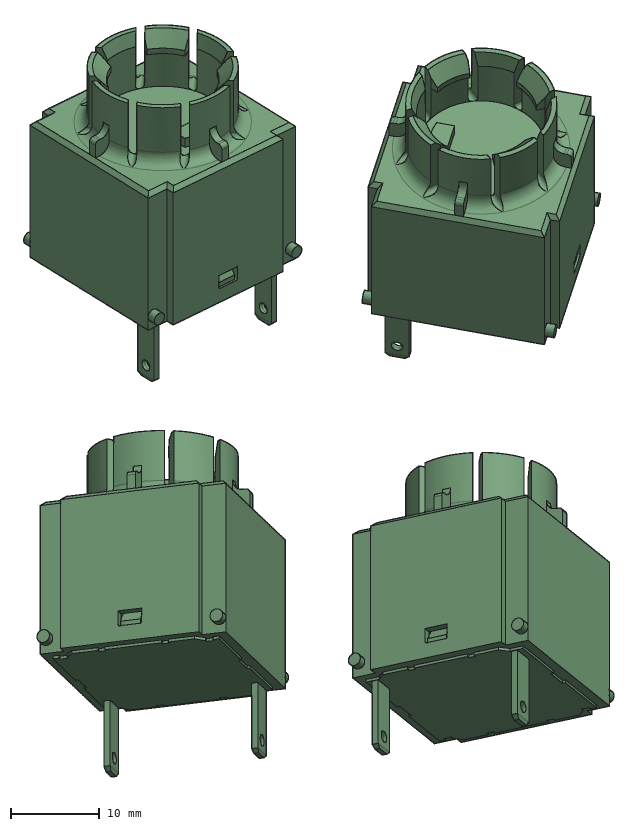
import cadquery as cq
import math

body_size = 22.2
body_height = 18.3
corner_step = 1.07
wing_width = 16.55
top_chamfer = 0.5
half_body = body_size / 2
step_x = half_body - corner_step

pin_diameter = 1.5
pin_z = 1.72
pin_y = half_body - pin_diameter / 2

collar_top = 25.78
collar_radius = 8.5
flare_radius = 1.48
bore_radius = 7.3
mouth_radius = 7.9
taper_depth = 1.72
collar_root = body_height - top_chamfer

slot_width = 1.0
slot_offset = 2.95
slot_start = 5.85
slot_end = 10.35

hook_radius = 6.35
hook_face_height = 0.72
hook_embed = 0.17

rib_width = 1.0
rib_reach = half_body - top_chamfer
rib_top = 20.47
rib_corner_radius = 0.5
rib_root_radius = 1.25

key_inner_x = 3.48
key_outer_radius = 5.8
key_width = 3.2
key_height = 1.2

window_width = 2.83
window_bottom = 1.85
window_top = 3.65
window_depth = 1.0
window_corner_radius = 0.25
latch_width = 2.38
latch_recess = 0.28
latch_edge_z = 2.48

plate_thickness = 0.35
plate_half = 9.92
plate_chamfer = 0.93
plate_side_notch_y = 3.8
plate_side_notch_width = 0.83
plate_end_notch_width = 2.83
plate_notch_depth = 0.35

terminal_x = 7.5
terminal_y = 8.82
terminal_width = 2.83
terminal_thickness = 0.75
front_terminal_length = 8.58
rear_terminal_length = 8.7
terminal_blade_length = 8.15
terminal_tip_inset = 0.5
terminal_tip_thickness = 0.6
terminal_hole_diameter = 1.3
terminal_hole_z = -6.8


def block(x0, x1, y0, y1, z0, z1):
    """Box given by its limits along each axis."""
    return cq.Workplane("XY").box(x1 - x0, y1 - y0, z1 - z0, centered=False).translate((x0, y0, z0))


def make_housing():
    wings = cq.Workplane("XY").rect(body_size, wing_width).extrude(body_height)
    core = cq.Workplane("XY").rect(2 * step_x, body_size).extrude(body_height)
    return core.union(wings).faces(">Z").edges().chamfer(top_chamfer)


def make_pins():
    pins = cq.Workplane("YZ", origin=(-half_body, 0, 0))
    pins = pins.pushPoints([(-pin_y, pin_z), (pin_y, pin_z)]).circle(pin_diameter / 2).extrude(corner_step)
    return pins.union(pins.mirror("YZ"))


def make_collar_ring():
    """Flared ring with a tapered mouth, rooted inside the housing."""
    flare_outer = collar_radius + flare_radius
    flare_top = body_height + flare_radius
    arc_inset = flare_radius * (1 - math.sqrt(0.5))
    profile = (
        cq.Workplane("XZ")
        .moveTo(bore_radius, collar_root)
        .lineTo(flare_outer, collar_root)
        .lineTo(flare_outer, body_height)
        .threePointArc((collar_radius + arc_inset, body_height + arc_inset), (collar_radius, flare_top))
        .lineTo(collar_radius, collar_top)
        .lineTo(mouth_radius, collar_top)
        .lineTo(bore_radius, collar_top - taper_depth)
        .close()
    )
    return profile.revolve(360, (0, 0, 0), (0, 1, 0))


def make_hook():
    """Hook on the finger that points along +X; its ends are radial."""
    half_angle = math.degrees(math.asin((slot_offset - slot_width / 2) / bore_radius))
    tip_z = collar_top - taper_depth
    hook_bottom = tip_z - hook_face_height
    profile = cq.Workplane("XZ").polyline([
        (mouth_radius, collar_top),
        (hook_radius, tip_z),
        (hook_radius, hook_bottom),
        (bore_radius + hook_embed, hook_bottom),
        (mouth_radius + hook_embed, collar_top),
    ]).close()
    hook = profile.revolve(2 * half_angle, (0, 0, 0), (0, 1, 0))
    middle = math.degrees(math.atan2(hook.val().Center().y, hook.val().Center().x))
    return hook.rotate((0, 0, 0), (0, 0, 1), -middle)


def make_slot():
    """Round-bottomed slot cutter running along +X, its lowest line level with the housing top."""
    radius = slot_width / 2
    axis_z = body_height + radius
    above = collar_top + slot_width
    return (
        cq.Workplane("YZ", origin=(slot_start, 0, 0))
        .moveTo(slot_offset - radius, above)
        .lineTo(slot_offset - radius, axis_z)
        .threePointArc((slot_offset, body_height), (slot_offset + radius, axis_z))
        .lineTo(slot_offset + radius, above)
        .close()
        .extrude(slot_end - slot_start)
    )


def make_rib():
    """Rib along +X with a rounded outer corner and a hollow root against the collar."""
    embed_x = (collar_radius + mouth_radius) / 2
    hollow = rib_root_radius * (1 - math.sqrt(0.5))
    corner = rib_corner_radius * (1 - math.sqrt(0.5))
    return (
        cq.Workplane("XZ", origin=(0, rib_width / 2, 0))
        .moveTo(embed_x, collar_root)
        .lineTo(rib_reach, collar_root)
        .lineTo(rib_reach, rib_top - rib_corner_radius)
        .threePointArc((rib_reach - corner, rib_top - corner), (rib_reach - rib_corner_radius, rib_top))
        .lineTo(collar_radius + rib_root_radius, rib_top)
        .threePointArc((collar_radius + hollow, rib_top + hollow), (collar_radius, rib_top + rib_root_radius))
        .lineTo(embed_x, rib_top + rib_root_radius)
        .close()
        .extrude(rib_width)
    )


def make_collar():
    collar = make_collar_ring()
    hook = make_hook()
    slot = make_slot()
    slot_pair = slot.union(slot.mirror("XZ"))
    rib = make_rib()
    for quarter in range(4):
        turn = 90 * quarter
        collar = collar.union(hook.rotate((0, 0, 0), (0, 0, 1), turn + 45))
        collar = collar.cut(slot_pair.rotate((0, 0, 0), (0, 0, 1), turn + 45))
        collar = collar.union(rib.rotate((0, 0, 0), (0, 0, 1), turn))
    return collar


def make_key():
    disc = cq.Workplane("XY", origin=(0, 0, collar_root)).circle(key_outer_radius)
    disc = disc.extrude(body_height + key_height - collar_root)
    limits = block(key_inner_x, key_outer_radius, -key_width / 2, key_width / 2,
                   collar_root, body_height + key_height)
    return disc.intersect(limits)


def make_window():
    """Cutter for the -X latch window; the sloped latch stays standing inside it."""
    window = block(-half_body, -half_body + window_depth, -window_width / 2, window_width / 2,
                   window_bottom, window_top)
    window = window.edges("|X and <Z").fillet(window_corner_radius)
    front_x = -half_body + latch_recess
    back_x = -half_body + window_depth
    latch = (
        cq.Workplane("XZ", origin=(0, latch_width / 2, 0))
        .polyline([
            (front_x, window_bottom),
            (front_x, latch_edge_z),
            (back_x, window_top),
            (back_x, window_bottom),
        ])
        .close()
        .extrude(latch_width)
    )
    return window.cut(latch)


def make_plate():
    """Thin plate with chamfered X wings, and shallow notches around its edge."""
    half_wing = wing_width / 2
    core_x = plate_half - plate_chamfer
    wings = cq.Workplane("XY").rect(2 * plate_half, wing_width).extrude(-plate_thickness)
    wings = wings.edges("|Z").chamfer(plate_chamfer)
    plate = cq.Workplane("XY").rect(2 * core_x, 2 * plate_half).extrude(-plate_thickness).union(wings)

    recess_outer = terminal_y + terminal_thickness / 2
    recess = block(-core_x, -core_x + plate_notch_depth, half_wing, recess_outer, -plate_thickness, 0)
    plate = plate.cut(recess).cut(recess.mirror("XZ"))

    def notches(points, size_x, size_y):
        return cq.Workplane("XY").pushPoints(points).rect(size_x, size_y).extrude(-plate_thickness)

    side_points = [(x, y) for x in (-plate_half, plate_half) for y in (-plate_side_notch_y, plate_side_notch_y)]
    end_points = [(0, -plate_half), (0, plate_half)]
    plate = plate.cut(notches(side_points, 2 * plate_notch_depth, plate_side_notch_width))
    return plate.cut(notches(end_points, plate_end_notch_width, 2 * plate_notch_depth))


def make_terminal(y, length):
    """Flat blade hanging from the housing, with a tapered tip and a cross hole."""
    blade = cq.Workplane("XY", origin=(terminal_x, y, 0))
    blade = blade.rect(terminal_width, terminal_thickness).extrude(-terminal_blade_length)
    tip = (
        cq.Workplane("XY", origin=(terminal_x, y, -terminal_blade_length))
        .rect(terminal_width, terminal_thickness)
        .workplane(offset=terminal_blade_length - length)
        .rect(terminal_width - 2 * terminal_tip_inset, terminal_tip_thickness)
        .loft(ruled=True)
    )
    hole = cq.Workplane("XZ", origin=(terminal_x, y, terminal_hole_z))
    hole = hole.circle(terminal_hole_diameter / 2).extrude(terminal_thickness, both=True)
    return blade.union(tip).cut(hole)


window_cutter = make_window()

result = make_housing().cut(window_cutter).cut(window_cutter.mirror("YZ"))
result = result.union(make_pins()).union(make_collar()).union(make_key()).union(make_plate())
result = result.union(make_terminal(-terminal_y, front_terminal_length))
result = result.union(make_terminal(terminal_y, rear_terminal_length))